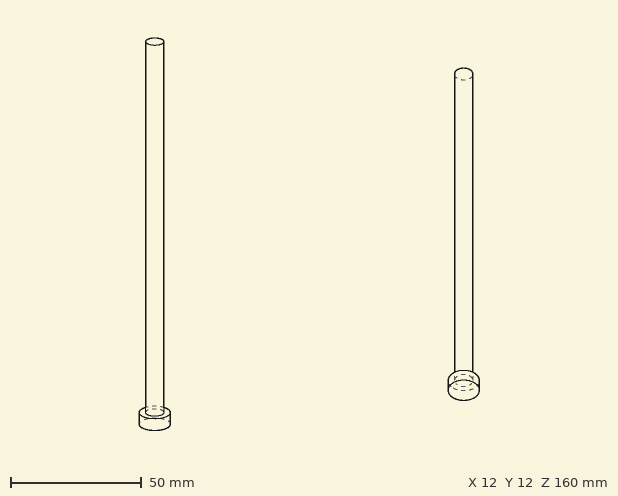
import cadquery as cq

total_length = 160.0
head_diameter = 12.0
head_height = 5.0
shaft_diameter = 7.0

head = cq.Workplane("XY").circle(head_diameter / 2).extrude(head_height)
shaft = cq.Workplane("XY").circle(shaft_diameter / 2).extrude(total_length)

result = head.union(shaft)